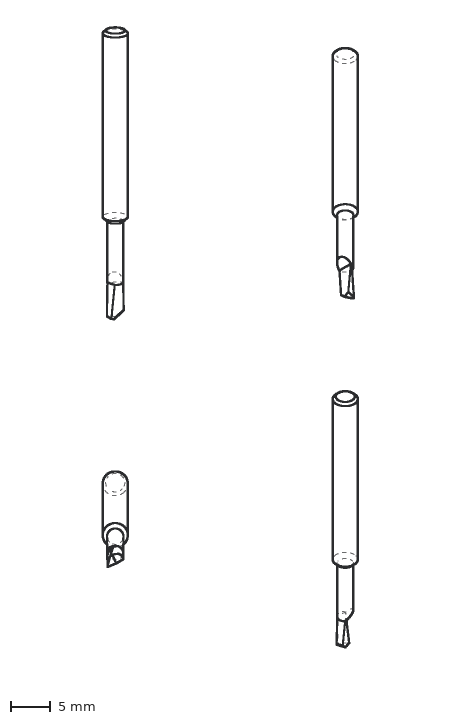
import cadquery as cq
import math

total_length = 38.1
shank_diameter = 3.15
shank_radius = shank_diameter / 2
shank_bottom = 13.35
top_chamfer = 0.4
neck_radius = 1.03
head_top = 4.65

top_edge, top_rake_end = (-0.9, -0.42), (0.9, 0.45)
top_heel_x = 0.23
top_heel = (top_heel_x, -math.sqrt(neck_radius**2 - top_heel_x**2))
top_round_angle = math.radians(-25)
top_round = (neck_radius * math.cos(top_round_angle), neck_radius * math.sin(top_round_angle))
tip_edge, tip_heel, tip_rake_end = (-1.1, 0.0), (-0.2, -1.1), (1.1, 0.1)
tip_round = (0.8, -0.8)

rake_shoulder_slope = 1.0
flank_shoulder_slope = 0.5
end_relief = 0.05
nose_chamfer_start = (0.15, 0.1)
nose_chamfer_end = (1.1, 1.03)
margin = 3.8


def shank_and_neck():
    cone_height = shank_radius - neck_radius
    profile = [
        (0, head_top),
        (neck_radius, head_top),
        (neck_radius, shank_bottom - cone_height),
        (shank_radius, shank_bottom),
        (shank_radius, total_length - top_chamfer),
        (shank_radius - top_chamfer, total_length),
        (0, total_length),
    ]
    return cq.Workplane("XZ").polyline(profile).close().revolve(360, (0, 0, 0), (0, 1, 0))


def shoulder_cutter(start, end, slope):
    """Wedge rising outward, to the right of the line from start to end."""
    along = cq.Vector(end[0] - start[0], end[1] - start[1], 0)
    outward = cq.Vector(along.y, -along.x, 0)
    plane = cq.Plane(origin=(start[0], start[1], head_top), xDir=outward, normal=-along)
    wedge = cq.Workplane(plane).polyline([(0, 0), (margin, 0), (margin, slope * margin)]).close()
    return wedge.extrude(margin, both=True)


def head_section(height, edge, heel, round_point, rake_end):
    section = cq.Workplane("XY", origin=(0, 0, height)).moveTo(*edge).lineTo(*heel)
    return section.threePointArc(round_point, rake_end).close().wires().val()


def cutting_head():
    lower = head_section(0, tip_edge, tip_heel, tip_round, tip_rake_end)
    upper = head_section(head_top, top_edge, top_heel, top_round, top_rake_end)
    head = cq.Workplane(cq.Solid.makeLoft([lower, upper], True))

    end_plane = cq.Plane(origin=(*tip_edge, 0), normal=(end_relief, -end_relief, -1))
    head = head.cut(cq.Workplane(end_plane).rect(2 * margin, 2 * margin).extrude(margin))

    run = nose_chamfer_end[0] - nose_chamfer_start[0]
    slope = (nose_chamfer_end[1] - nose_chamfer_start[1]) / run
    low = (nose_chamfer_start[0] - run, nose_chamfer_start[1] - slope * run)
    high = (nose_chamfer_end[0] + run, nose_chamfer_end[1] + slope * run)
    nose = cq.Workplane("XZ").polyline([low, high, (high[0], low[1])]).close()
    return head.cut(nose.extrude(margin, both=True))


body = shank_and_neck()
body = body.cut(shoulder_cutter(top_rake_end, top_edge, rake_shoulder_slope))
body = body.cut(shoulder_cutter(top_edge, top_heel, flank_shoulder_slope))
result = body.union(cutting_head())